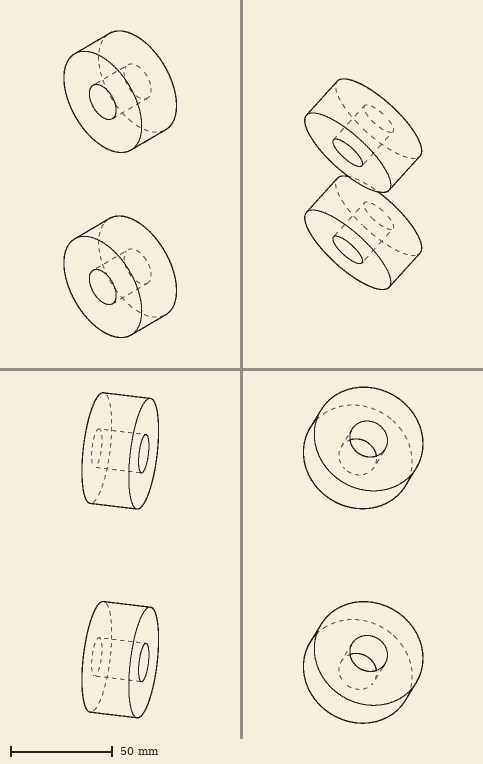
import cadquery as cq

roller_diameter = 55.0
bore_diameter = 19.0
roller_width = 24.0
axis_spacing = 114.0


def make_roller(axis_height):
    """Plain roller with a through bore, centred on the XZ plane."""
    return (
        cq.Workplane("XZ", origin=(0, roller_width / 2, axis_height))
        .circle(roller_diameter / 2)
        .circle(bore_diameter / 2)
        .extrude(roller_width)
    )


rollers = [make_roller(side * axis_spacing / 2) for side in (-1, 1)]

result = cq.Compound.makeCompound([roller.val() for roller in rollers])